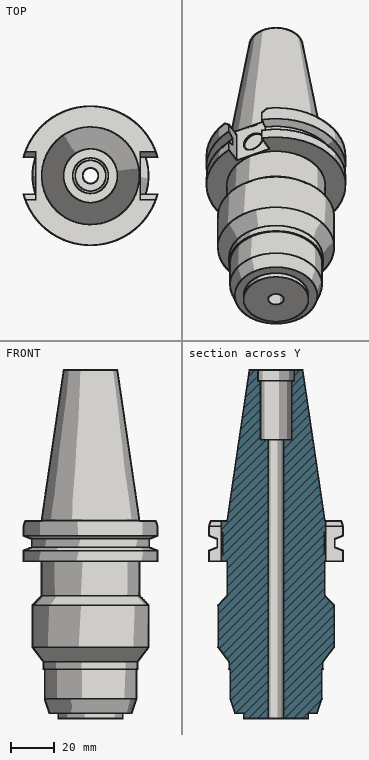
import cadquery as cq

total_height = 159.2
pilot_top = 2.4
nose_cone_top = 9.0
nose_top = 22.6
collar_top = 26.0
nut_bottom = 32.6
nut_top = 51.7
neck_bottom = 56.0
flange_bottom = 71.8
flange_top = 90.2
taper_bottom = 91.0

pilot_radius = 14.8
nose_end_radius = 18.8
nose_radius = 21.0
collar_radius = 21.5
nut_radius = 26.5
neck_radius = 22.5
flange_diameter = 63.5
flange_radius = flange_diameter / 2
taper_large_radius = 22.3
taper_small_radius = 12.3

groove_radius = 28.2
groove_bottom = 76.7
groove_top = 83.4
groove_side_height = 1.5

slot_width = 16.7
left_slot_floor = 25.0
right_slot_floor = 22.8
slot_chamfer = 2.5
socket_radius = 4.8
socket_depth = 0.6
socket_height = 80.0

through_radius = 3.5
thread_radius = 7.0
thread_depth = 31.8
counterbore_radius = 8.1
counterbore_depth = 5.1


def make_body():
    """Revolve the half section of the holder about Z."""
    half_section = [
        (0, 0),
        (pilot_radius, 0),
        (pilot_radius, pilot_top),
        (nose_end_radius, pilot_top),
        (nose_radius, nose_cone_top),
        (nose_radius, nose_top),
        (collar_radius, nose_top),
        (collar_radius, collar_top),
        (nut_radius, nut_bottom),
        (nut_radius, nut_top),
        (neck_radius, neck_bottom),
        (neck_radius, flange_bottom),
        (flange_radius, flange_bottom),
        (flange_radius, groove_bottom),
        (groove_radius, groove_bottom + groove_side_height),
        (groove_radius, groove_top - groove_side_height),
        (flange_radius, groove_top),
        (flange_radius, flange_top),
        (taper_large_radius, flange_top),
        (taper_large_radius, taper_bottom),
        (taper_small_radius, total_height),
        (0, total_height),
    ]
    return cq.Workplane("XZ").polyline(half_section).close().revolve(360, (0, 0), (0, 1))


def make_slot(side, floor_distance):
    """Slot through the flange on the +X (side=1) or -X (side=-1) side, with flared upper edges."""
    half_width = slot_width / 2
    flare_half_width = half_width + slot_chamfer
    outline = [
        (-half_width, flange_bottom),
        (half_width, flange_bottom),
        (half_width, flange_top - slot_chamfer),
        (flare_half_width, flange_top),
        (-flare_half_width, flange_top),
        (-half_width, flange_top - slot_chamfer),
    ]
    floor = cq.Workplane("YZ").workplane(offset=side * floor_distance)
    return floor.polyline(outline).close().extrude(side * (flange_radius - floor_distance))


def make_socket(side, floor_distance):
    """Shallow round recess in the floor of a driving slot."""
    floor = cq.Workplane("YZ").workplane(offset=side * floor_distance)
    return floor.center(0, socket_height).circle(socket_radius).extrude(-side * socket_depth)


def make_top_bore(radius, depth):
    """Cylinder reaching down from the small end of the taper."""
    return cq.Workplane("XY").workplane(offset=total_height).circle(radius).extrude(-depth)


result = make_body()

for side, floor_distance in ((-1, left_slot_floor), (1, right_slot_floor)):
    result = result.cut(make_slot(side, floor_distance))
    result = result.cut(make_socket(side, floor_distance))

for radius, depth in (
    (counterbore_radius, counterbore_depth),
    (thread_radius, thread_depth),
    (through_radius, total_height),
):
    result = result.cut(make_top_bore(radius, depth))